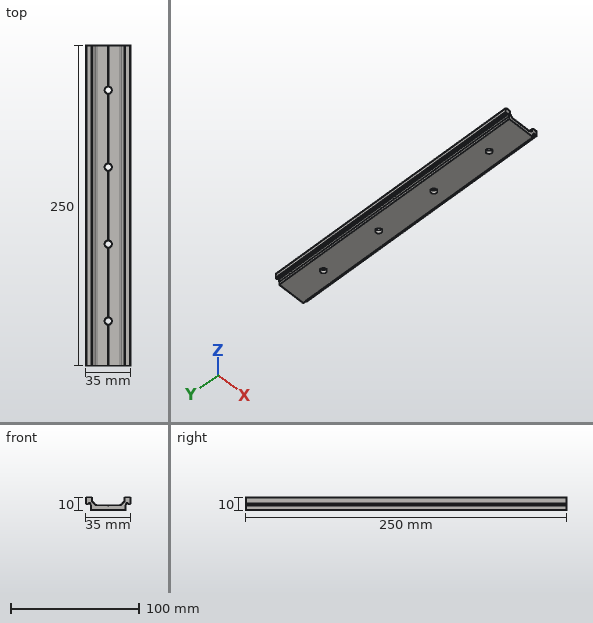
import cadquery as cq
import math

length = 250.0
width = 35.0
height = 10.0

base_width = 27.0
floor_height = 3.9
floor_width = 19.6
floor_fillet_radius = 1.5

rail_width = 5.0
inner_wall_bottom = 6.8
rail_bottom = 4.5
rail_chamfer = 0.6

groove_roof = 5.3
groove_outer_inset = 2.4
lip_slope_run = 0.8
neck_bottom = 3.2
neck_flare = 0.7

centre_line_width = 0.8
centre_line_depth = 0.2

hole_diameter = 5.5
hole_pitch = 60.0
hole_count = 4

half_width = width / 2
half_base = base_width / 2
half_floor = floor_width / 2
half_opening = half_width - rail_width
half_neck = half_base + neck_flare
lip_inner = half_width - groove_outer_inset

slope_angle = math.atan2(inner_wall_bottom - floor_height, half_opening - half_floor)
fillet_tangent = floor_fillet_radius * math.tan(slope_angle / 2)
fillet_top = floor_height + fillet_tangent * math.sin(slope_angle)


def channel_body():
    """Extrude the mirrored cross-section along Y, centred on the origin."""
    half_section = (
        cq.Workplane("XZ")
        .moveTo(0, 0)
        .lineTo(half_base, 0)
        .lineTo(half_base, neck_bottom)
        .lineTo(half_neck, groove_roof)
        .lineTo(lip_inner, groove_roof)
        .lineTo(lip_inner + lip_slope_run, rail_bottom)
        .lineTo(half_width - rail_chamfer, rail_bottom)
        .lineTo(half_width, rail_bottom + rail_chamfer)
        .lineTo(half_width, height - rail_chamfer)
        .lineTo(half_width - rail_chamfer, height)
        .lineTo(half_opening + rail_chamfer, height)
        .lineTo(half_opening, height - rail_chamfer)
        .lineTo(half_opening, inner_wall_bottom)
        .lineTo(half_floor + fillet_tangent * math.cos(slope_angle), fillet_top)
        .radiusArc((half_floor - fillet_tangent, floor_height), floor_fillet_radius)
        .lineTo(centre_line_width / 2, floor_height)
        .lineTo(0, floor_height - centre_line_depth)
        .close()
        .extrude(length / 2, both=True)
    )
    return half_section.union(half_section.mirror("YZ"))


def mounting_holes():
    """Through holes spaced evenly along the centre line."""
    return (
        cq.Workplane("XY")
        .rarray(1, hole_pitch, 1, hole_count)
        .circle(hole_diameter / 2)
        .extrude(height)
    )


result = channel_body().cut(mounting_holes())